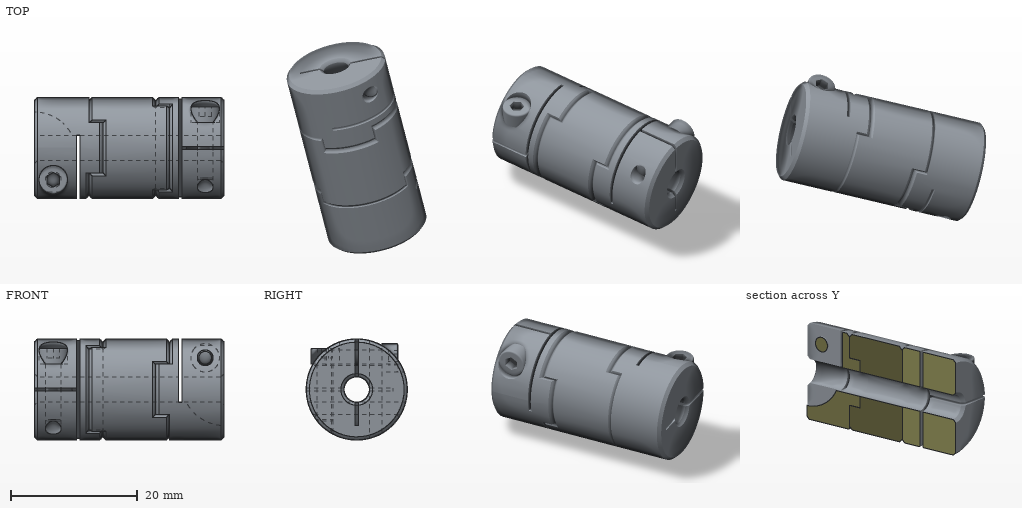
import cadquery as cq
import math

LENGTH = 30.0
OUTER_RADIUS = 16.0 / 2
BORE_RADIUS = 4.0 / 2
CHAMFER = 0.5
HALF_LENGTH = LENGTH / 2
TOLERANCE = 0.003

TONGUE_HALF_WIDTH = 4.0
TONGUE_TIP = 4.17
HUB_SHOULDER = 6.35

SLIT_WIDTH = 0.5
GROOVE_INNER = 7.8
GROOVE_OUTER = GROOVE_INNER + SLIT_WIDTH
GROOVE_FLOOR = BORE_RADIUS
SLIT_DEPTH = 5.7
SLIT_LENGTH = HALF_LENGTH - GROOVE_OUTER

SCREW_OFFSET = 5.0
SCREW_FROM_END = 3.0
SHANK_RADIUS = 2.5 / 2
SHANK_LENGTH = 9.0
HEAD_RADIUS = 4.5 / 2
HEAD_HEIGHT = 2.5
HEAD_SEAT = 4.0
HEAD_FILLET = 0.25
TIP_CHAMFER = 0.25
HEX_ACROSS_FLATS = 2.0
HEX_DEPTH = 1.5

SCREW_X = SCREW_FROM_END - HALF_LENGTH
SCREW_Y = -SCREW_OFFSET


def x_cylinder(radius, x_start, x_end):
    """Solid cylinder on the coupling axis."""
    return cq.Workplane("YZ", origin=(x_start, 0, 0)).circle(radius).extrude(x_end - x_start)


def block(x_range, y_range, z_range):
    """Axis-aligned box between the given limits."""
    limits = (x_range, y_range, z_range)
    size = [high - low for low, high in limits]
    middle = [(high + low) / 2 for low, high in limits]
    return cq.Workplane("XY", origin=tuple(middle)).box(*size)


def z_cylinder(radius, z_start, z_end):
    """Solid cylinder on the axis of the -X hub's screw."""
    origin = (SCREW_X, SCREW_Y, z_start)
    return cq.Workplane("XY", origin=origin).circle(radius).extrude(z_end - z_start)


def on_opposite_end(body):
    """Place a -X body on the +X end: mirrored, then a quarter turn about X."""
    return body.mirror("YZ").rotate((0, 0, 0), (1, 0, 0), -90)


def make_hub_blank():
    """Revolved hub with its tongue across Z, before the clamp features."""
    full = (-OUTER_RADIUS, OUTER_RADIUS)

    tongue = x_cylinder(OUTER_RADIUS, -HALF_LENGTH, -TONGUE_TIP)
    tongue = tongue.faces("<X or >X").chamfer(CHAMFER)
    tongue = tongue.intersect(
        block((-HALF_LENGTH, 0), (-TONGUE_HALF_WIDTH, TONGUE_HALF_WIDTH), full)
    )

    shoulder = x_cylinder(OUTER_RADIUS, -HALF_LENGTH, -HUB_SHOULDER)
    shoulder = shoulder.faces("<X").chamfer(CHAMFER)
    broken = shoulder.faces(">X").chamfer(CHAMFER)
    open_side = broken.intersect(block((-HALF_LENGTH, 0), (-OUTER_RADIUS, 0), full))
    closed_side = shoulder.intersect(block((-HALF_LENGTH, 0), (0, OUTER_RADIUS), full))

    blank = open_side.union(closed_side).union(tongue)
    bore = x_cylinder(BORE_RADIUS, -HALF_LENGTH, 0)
    bore_chamfer = cq.Workplane("YZ", origin=(-HALF_LENGTH, 0, 0)).circle(BORE_RADIUS + CHAMFER)
    bore_chamfer = bore_chamfer.workplane(offset=CHAMFER).circle(BORE_RADIUS).loft()
    return blank.cut(bore).cut(bore_chamfer)


def make_clamp_slit():
    """Slit in the Z = 0 plane, open to -Y, with a large rounded blind corner."""
    arc_y = SLIT_DEPTH - SLIT_LENGTH
    diagonal = SLIT_LENGTH * math.sqrt(0.5)
    return (
        cq.Workplane("XY", origin=(0, 0, -SLIT_WIDTH / 2))
        .moveTo(-HALF_LENGTH, -OUTER_RADIUS)
        .lineTo(-GROOVE_OUTER, -OUTER_RADIUS)
        .lineTo(-GROOVE_OUTER, arc_y)
        .threePointArc((diagonal - HALF_LENGTH, arc_y + diagonal), (-HALF_LENGTH, SLIT_DEPTH))
        .close()
        .extrude(SLIT_WIDTH)
    )


def make_hub():
    """Clamp hub on the -X end."""
    groove = block(
        (-GROOVE_OUTER, -GROOVE_INNER),
        (-OUTER_RADIUS, GROOVE_FLOOR),
        (-OUTER_RADIUS, OUTER_RADIUS),
    )
    screw_hole = z_cylinder(SHANK_RADIUS, -OUTER_RADIUS, OUTER_RADIUS)
    counterbore = z_cylinder(HEAD_RADIUS, HEAD_SEAT, OUTER_RADIUS)
    return make_hub_blank().cut(groove).cut(make_clamp_slit()).cut(screw_hole).cut(counterbore)


def make_screw():
    """Socket head screw of the -X hub, head towards +Z."""
    head_top = HEAD_SEAT + HEAD_HEIGHT
    head = z_cylinder(HEAD_RADIUS, HEAD_SEAT, head_top).faces(">Z").edges().fillet(HEAD_FILLET)
    shank = z_cylinder(SHANK_RADIUS, HEAD_SEAT - SHANK_LENGTH, HEAD_SEAT)
    shank = shank.faces("<Z").chamfer(TIP_CHAMFER)
    across_corners = HEX_ACROSS_FLATS / math.cos(math.pi / 6)
    socket = (
        cq.Workplane("XY", origin=(SCREW_X, SCREW_Y, head_top))
        .transformed(rotate=(0, 0, 30))
        .polygon(6, across_corners)
        .extrude(-HEX_DEPTH)
    )
    return head.union(shank).cut(socket)


def make_disc():
    """Centre disc with crossed slots, one for each hub tongue."""
    across = (-OUTER_RADIUS, OUTER_RADIUS)
    slot_end = (-HUB_SHOULDER, -TONGUE_TIP)
    slot = block(slot_end, (-TONGUE_HALF_WIDTH, TONGUE_HALF_WIDTH), across)
    disc = x_cylinder(OUTER_RADIUS, -HUB_SHOULDER, HUB_SHOULDER)
    disc = disc.cut(slot).cut(on_opposite_end(slot))

    def is_rim_edge(edge):
        """True for joint edges lying on the outer surface."""
        middle = edge.positionAt(0.5)
        on_surface = math.isclose(math.hypot(middle.y, middle.z), OUTER_RADIUS, abs_tol=TOLERANCE)
        return on_surface and abs(middle.x) > TONGUE_TIP - TOLERANCE

    disc = disc.edges().filter(is_rim_edge).chamfer(CHAMFER)
    return disc.cut(x_cylinder(BORE_RADIUS, -HUB_SHOULDER, HUB_SHOULDER))


hub = make_hub()
screw = make_screw()
hubs = [hub, on_opposite_end(hub)]
screws = [screw, on_opposite_end(screw)]
disc = make_disc()

result = cq.Compound.makeCompound([body.val() for body in (*hubs, disc, *screws)])